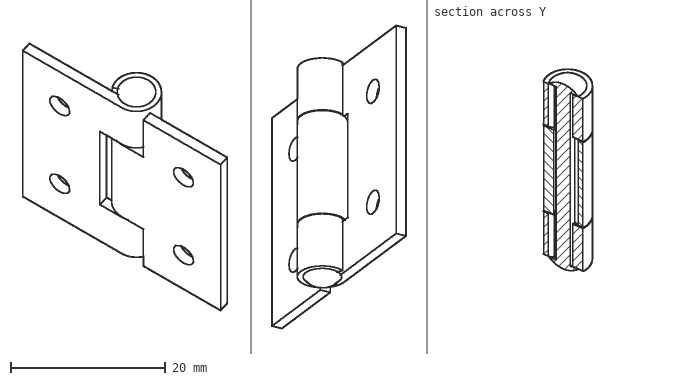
import cadquery as cq
import math

overall_width = 32.0
overall_height = 32.5
leaf_height = 30.0
leaf_thickness = 1.5
knuckle_radius = 3.25
middle_knuckle_height = 14.82
knuckle_end_gap = 0.1
notch_depth = 3.5
curl_end_angle = 23.6
shaft_radius = 1.5
head_radius = 2.5
hole_diameter = 3.2
hole_offset_x = 10.0
hole_offset_z = 8.0

bore_radius = knuckle_radius - leaf_thickness
half_width = overall_width / 2
half_leaf_height = leaf_height / 2
middle_slot_height = middle_knuckle_height + 2 * knuckle_end_gap
head_height = (overall_height - leaf_height) / 2


def curled_strip():
    """Left-hand flat strip, tangent to the curl that forms the knuckle."""
    end_angle = math.radians(curl_end_angle)
    end_cos = math.cos(end_angle)
    end_sin = math.sin(end_angle)
    return (
        cq.Workplane("XY")
        .workplane(offset=-half_leaf_height)
        .moveTo(-half_width, -knuckle_radius)
        .lineTo(0, -knuckle_radius)
        .threePointArc((0, knuckle_radius), (-knuckle_radius * end_cos, -knuckle_radius * end_sin))
        .lineTo(-bore_radius * end_cos, -bore_radius * end_sin)
        .threePointArc((0, bore_radius), (0, -bore_radius))
        .lineTo(-half_width, -bore_radius)
        .close()
        .extrude(leaf_height)
    )


def knuckle_clearance(height, center_z):
    """Block that removes the knuckle, up to the clearance edge of the leaf."""
    return cq.Workplane("XY").box(2 * notch_depth, 2 * notch_depth, height).translate((0, 0, center_z))


def drill_screw_holes(leaf):
    screw_points = [(-hole_offset_x, z) for z in (-hole_offset_z, hole_offset_z)]
    drills = (
        cq.Workplane("XZ")
        .pushPoints(screw_points)
        .circle(hole_diameter / 2)
        .extrude(2 * knuckle_radius)
    )
    return leaf.cut(drills)


def make_outer_leaf():
    """Left leaf, with a knuckle at each end."""
    leaf = curled_strip().cut(knuckle_clearance(middle_slot_height, 0))
    return drill_screw_holes(leaf)


def make_middle_leaf():
    """Right leaf, with one knuckle in the middle."""
    leaf = curled_strip()
    end_cut_height = (leaf_height - middle_knuckle_height) / 2
    end_cut_center = (leaf_height + middle_knuckle_height) / 4
    for side in (-1, 1):
        leaf = leaf.cut(knuckle_clearance(end_cut_height, side * end_cut_center))
    return drill_screw_holes(leaf).mirror("YZ")


def make_pin():
    """Shaft with clearance in the bore, and a domed head over each end."""
    dome_radius = (head_radius**2 + head_height**2) / (2 * head_height)
    arc_angle = math.asin(head_radius / dome_radius) / 2
    arc_x = dome_radius * math.sin(arc_angle)
    arc_z = overall_height / 2 - dome_radius * (1 - math.cos(arc_angle))
    return (
        cq.Workplane("XZ")
        .moveTo(0, -overall_height / 2)
        .threePointArc((arc_x, -arc_z), (head_radius, -half_leaf_height))
        .lineTo(shaft_radius, -half_leaf_height)
        .lineTo(shaft_radius, half_leaf_height)
        .lineTo(head_radius, half_leaf_height)
        .threePointArc((arc_x, arc_z), (0, overall_height / 2))
        .close()
        .revolve(360, (0, 0), (0, 1))
    )


outer_leaf = make_outer_leaf()
middle_leaf = make_middle_leaf()
pin = make_pin()

result = cq.Compound.makeCompound([outer_leaf.val(), middle_leaf.val(), pin.val()])